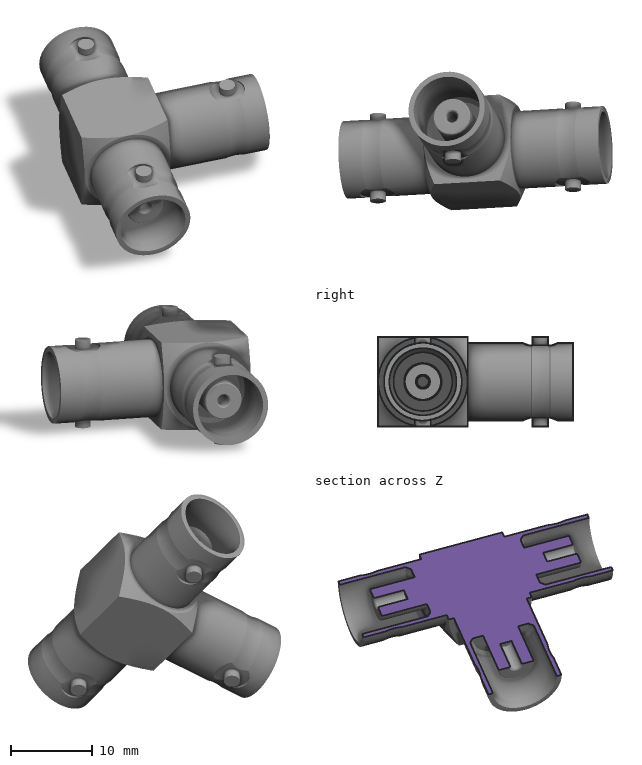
import cadquery as cq
import math

block_side = 11.05
block_length = 10.85
end_circle_radius = 5.5
end_chamfer_depth = 1.33

run_reach = 16.25
branch_reach = 18.48
barrel_radius = 4.78

pin_setback = 4.03
pin_radius = 0.98
pin_tip = block_side / 2
spot_face_radius = 2.18
spot_face_height = 4.45
pin_embed = 0.15
pin_root = spot_face_height - pin_embed
groove_width = 2.28
groove_depth = 0.13

bore_radius = 4.13
floor_radius = 3.6
socket_depth = 9.1
insulator_setback = 3.25
insulator_radius = 2.3
insulator_chamfer = 0.1
contact_mouth_radius = 0.88
contact_radius = 0.7
contact_hole_depth = 3.9


def make_block():
    """Block whose X ends are turned down to circles by a conical chamfer."""
    block = cq.Workplane("XY").box(block_length, block_side, block_side)
    half_length = block_length / 2
    shoulder = half_length - end_chamfer_depth
    corner_radius = math.hypot(block_side, block_side) / 2
    turning = (
        cq.Workplane("XY")
        .moveTo(-half_length, 0)
        .lineTo(-half_length, end_circle_radius)
        .lineTo(-shoulder, corner_radius)
        .lineTo(shoulder, corner_radius)
        .lineTo(half_length, end_circle_radius)
        .lineTo(half_length, 0)
        .close()
        .revolve(360, (0, 0, 0), (1, 0, 0))
    )
    return block.intersect(turning)


def make_barrel(reach):
    """Solid barrel along +X with its groove, spot faces and pins."""
    pin_x = reach - pin_setback
    groove_start = pin_x - groove_width / 2
    groove_end = pin_x + groove_width / 2
    barrel = (
        cq.Workplane("XY")
        .lineTo(0, barrel_radius)
        .lineTo(groove_start, barrel_radius)
        .threePointArc((pin_x, barrel_radius - groove_depth), (groove_end, barrel_radius))
        .lineTo(reach, barrel_radius)
        .lineTo(reach, 0)
        .close()
        .revolve(360, (0, 0, 0), (1, 0, 0))
    )
    pin_axis = cq.Workplane("XY").center(pin_x, 0)
    for side in (1, -1):
        spot_face = (
            pin_axis.workplane(offset=side * spot_face_height)
            .circle(spot_face_radius)
            .extrude(side * barrel_radius)
        )
        pin = (
            pin_axis.workplane(offset=side * pin_root)
            .circle(pin_radius)
            .extrude(side * (pin_tip - pin_root))
        )
        barrel = barrel.cut(spot_face).union(pin)
    return barrel


def make_socket(reach):
    """Volume removed from the mouth of a barrel along +X."""
    floor_x = reach - socket_depth
    insulator_x = reach - insulator_setback
    contact_floor_x = insulator_x - contact_hole_depth
    floor_taper = bore_radius - floor_radius
    contact_chamfer = contact_mouth_radius - contact_radius
    return (
        cq.Workplane("XY")
        .moveTo(reach, 0)
        .lineTo(reach, bore_radius)
        .lineTo(floor_x + floor_taper, bore_radius)
        .lineTo(floor_x, floor_radius)
        .lineTo(floor_x, insulator_radius)
        .lineTo(insulator_x - insulator_chamfer, insulator_radius)
        .lineTo(insulator_x, insulator_radius - insulator_chamfer)
        .lineTo(insulator_x, contact_mouth_radius)
        .lineTo(insulator_x - contact_chamfer, contact_radius)
        .lineTo(contact_floor_x, contact_radius)
        .lineTo(contact_floor_x, 0)
        .close()
        .revolve(360, (0, 0, 0), (1, 0, 0))
    )


def turn(body, angle):
    """Swing a body about the Z axis."""
    return body.rotate((0, 0, 0), (0, 0, 1), angle)


arms = [(run_reach, 0), (branch_reach, 90), (run_reach, 180)]

result = make_block()
for arm_reach, arm_angle in arms:
    result = result.union(turn(make_barrel(arm_reach), arm_angle))
for arm_reach, arm_angle in arms:
    result = result.cut(turn(make_socket(arm_reach), arm_angle))